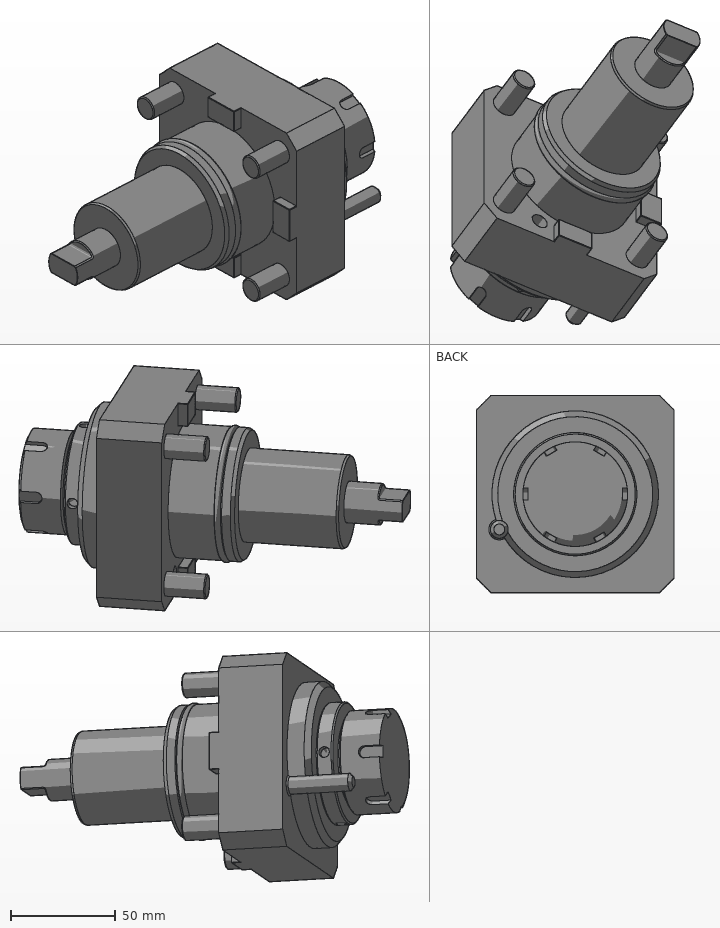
import cadquery as cq
import math


TOTAL_LENGTH = 186.3

PLATE_SIDE = 95.0
PLATE_THICKNESS = 32.0
PLATE_CORNER = 7.0

SPIGOT_RADIUS = 32.5
SPIGOT_LENGTH = 32.5
SPIGOT_BEVEL_LENGTH = 1.9
SPIGOT_BEVEL_DEPTH = 1.1
SHANK_RADIUS = 22.7
SHANK_END = 81.6
SHANK_BEVEL_LENGTH = 1.1
SHANK_BEVEL_DEPTH = 0.5
TANG_RADIUS = 10.0
TANG_END = 110.3
TANG_THICKNESS = 11.0
TANG_FLAT_LENGTH = 12.0
TANG_FILLET = 1.0
TANG_EDGE_CHAMFER = 0.5
TANG_END_CHAMFER = 0.2

RING_OUTER_RADIUS = 33.2
RING_SECTION_RADIUS = 1.5
GROOVE_START = 22.5
GROOVE_WIDTH = 3.7

FLANGE_RADIUS = 40.0
FLANGE_HEIGHT = 11.4
FLANGE_CHAMFER = 2.8
LOCK_RADIUS = 29.6
LOCK_TOP = 19.7
LOCK_CHAMFER = 0.7
NECK_RADIUS = 20.5
NUT_RADIUS = 25.2
NUT_START = 21.5
NUT_START_BEVEL_LENGTH = 1.0
NUT_START_BEVEL_DEPTH = 1.3
NUT_SIDE_TOP = 42.0
NUT_SHOULDER_RADIUS = 22.5
NUT_SHOULDER_TOP = 43.2
NUT_FACE_RADIUS = 19.7
NUT_TOP = TOTAL_LENGTH - TANG_END - PLATE_THICKNESS

NUT_SLOT_COUNT = 6
NUT_SLOT_WIDTH = 5.8
NUT_SLOT_DEPTH = 2.5
NUT_SLOT_END = 31.5
LOCK_HOLE_COUNT = 4
LOCK_HOLE_DIAMETER = 5.2
LOCK_HOLE_DEPTH = 3.7
DRILL_POINT_ANGLE = 118.0

BOLT_RADIUS = 6.0
BOLT_LENGTH = 20.1
BOLT_X = 36.5
BOLT_Z = 35.0
BOLT_CHAMFER = 0.5
KEY_WIDTH = 18.3
KEY_DEPTH = 11.5
KEY_HEIGHT = 4.8
KEY_CHAMFER = 0.28
PIN_RADIUS = 4.3
PIN_X = 36.5
PIN_Z = -17.0
PIN_LENGTH = 32.2
PIN_CHAMFER = 1.7
PIN_FLARE = 0.7
COOLANT_HOLE_RADIUS = 4.1
COOLANT_HOLE_X = -17.0
COOLANT_HOLE_Z = -37.0
COOLANT_HOLE_DEPTH = PLATE_THICKNESS / 2


def rod(x, z, y_start, y_end, radius):
    """Cylinder along Y between two Y positions."""
    direction = cq.Vector(0, math.copysign(1, y_end - y_start), 0)
    return cq.Workplane(
        cq.Solid.makeCylinder(radius, abs(y_end - y_start), cq.Vector(x, y_start, z), direction)
    )


def revolved(points):
    """Solid of revolution about Y from (radius, Y) points."""
    return cq.Workplane("XY").polyline(points).close().revolve(360, (0, 0), (0, 1))


def make_plate():
    """Square plate with beveled corners."""
    plate = cq.Workplane("XY").box(PLATE_SIDE, PLATE_THICKNESS, PLATE_SIDE)
    return plate.edges("|Y").chamfer(PLATE_CORNER).translate((0, PLATE_THICKNESS / 2, 0))


def make_front():
    """Spigot with its O-ring groove, and the shank."""
    groove_radius = RING_OUTER_RADIUS - 2 * RING_SECTION_RADIUS
    groove_end = GROOVE_START + GROOVE_WIDTH
    return revolved([
        (0, 0),
        (SPIGOT_RADIUS, 0),
        (SPIGOT_RADIUS, -GROOVE_START),
        (groove_radius, -GROOVE_START),
        (groove_radius, -groove_end),
        (SPIGOT_RADIUS, -groove_end),
        (SPIGOT_RADIUS, SPIGOT_BEVEL_LENGTH - SPIGOT_LENGTH),
        (SPIGOT_RADIUS - SPIGOT_BEVEL_DEPTH, -SPIGOT_LENGTH),
        (SHANK_RADIUS, -SPIGOT_LENGTH),
        (SHANK_RADIUS, SHANK_BEVEL_LENGTH - SHANK_END),
        (SHANK_RADIUS - SHANK_BEVEL_DEPTH, -SHANK_END),
        (0, -SHANK_END),
    ])


def make_rear():
    """Flange, lock ring, neck and collet nut."""
    profile = [
        (0, 0),
        (FLANGE_RADIUS, 0),
        (FLANGE_RADIUS, FLANGE_HEIGHT - FLANGE_CHAMFER),
        (FLANGE_RADIUS - FLANGE_CHAMFER, FLANGE_HEIGHT),
        (LOCK_RADIUS - LOCK_CHAMFER, FLANGE_HEIGHT),
        (LOCK_RADIUS, FLANGE_HEIGHT + LOCK_CHAMFER),
        (LOCK_RADIUS, LOCK_TOP - LOCK_CHAMFER),
        (LOCK_RADIUS - LOCK_CHAMFER, LOCK_TOP),
        (NECK_RADIUS, LOCK_TOP),
        (NECK_RADIUS, NUT_START),
        (NUT_RADIUS - NUT_START_BEVEL_DEPTH, NUT_START),
        (NUT_RADIUS, NUT_START + NUT_START_BEVEL_LENGTH),
        (NUT_RADIUS, NUT_SIDE_TOP),
        (NUT_SHOULDER_RADIUS, NUT_SHOULDER_TOP),
        (NUT_FACE_RADIUS, NUT_TOP),
        (0, NUT_TOP),
    ]
    return revolved(profile).translate((0, PLATE_THICKNESS, 0))


def make_tang_cutter():
    """Block that leaves one flat on the +Z side of the tang."""
    cutter = cq.Workplane("XY").box(
        2 * TANG_RADIUS, TANG_FLAT_LENGTH, TANG_RADIUS, centered=(True, False, False)
    )
    cutter = cutter.edges(">Y and <Z").fillet(TANG_FILLET)
    return cutter.translate((0, -TANG_END, TANG_THICKNESS / 2))


def make_tang():
    """Round drive end with two flats whose long and end edges are broken."""
    tang = rod(0, 0, -SHANK_END, -TANG_END, TANG_RADIUS)
    for angle in (0, 180):
        tang = tang.cut(turned(make_tang_cutter(), angle))
    tang = tang.edges("|Y").edges(cq.selectors.BoxSelector(
        (-TANG_RADIUS, -TANG_END, -TANG_THICKNESS),
        (TANG_RADIUS, -TANG_END + TANG_FLAT_LENGTH, TANG_THICKNESS),
    )).chamfer(TANG_EDGE_CHAMFER)
    return tang.faces("<Y").chamfer(TANG_END_CHAMFER)


def make_nut_slot():
    """Round-ended wrench slot cutter on the +X side of the nut."""
    slot_radius = NUT_SLOT_WIDTH / 2
    slot_floor = NUT_RADIUS - NUT_SLOT_DEPTH
    round_center = PLATE_THICKNESS + NUT_SLOT_END + slot_radius
    slot_length = PLATE_THICKNESS + NUT_TOP - round_center
    straight = cq.Workplane("XY").box(
        2 * NUT_SLOT_DEPTH, slot_length, NUT_SLOT_WIDTH, centered=(False, False, True)
    ).translate((slot_floor, round_center, 0))
    round_end = cq.Workplane(cq.Solid.makeCylinder(
        slot_radius, 2 * NUT_SLOT_DEPTH, cq.Vector(slot_floor, round_center, 0), cq.Vector(1, 0, 0)
    ))
    return straight.union(round_end)


def make_lock_hole():
    """Radial spanner hole cutter with a drill point, on the +X side of the lock ring."""
    hole_y = PLATE_THICKNESS + (FLANGE_HEIGHT + LOCK_TOP) / 2
    hole_radius = LOCK_HOLE_DIAMETER / 2
    point_length = hole_radius / math.tan(math.radians(DRILL_POINT_ANGLE / 2))
    floor_x = LOCK_RADIUS - LOCK_HOLE_DEPTH
    profile = [
        (floor_x - point_length, 0),
        (floor_x, hole_radius),
        (LOCK_RADIUS + LOCK_HOLE_DEPTH, hole_radius),
        (LOCK_RADIUS + LOCK_HOLE_DEPTH, 0),
    ]
    hole = cq.Workplane("XY").polyline(profile).close().revolve(360, (0, 0), (1, 0))
    return hole.translate((0, hole_y, 0))


def make_key():
    """Locating key at the +X side of the plate, standing on its front face."""
    key = cq.Workplane("XY").box(
        KEY_DEPTH, KEY_HEIGHT, KEY_WIDTH, centered=(False, False, True)
    )
    key = key.edges("<Y or |Y").chamfer(KEY_CHAMFER)
    return key.translate((PLATE_SIDE / 2 - KEY_DEPTH, -KEY_HEIGHT, 0))


def turned(shape, angle):
    """Shape rotated about the Y axis."""
    return shape.rotate((0, 0, 0), (0, 1, 0), angle)


def make_housing():
    """Holder body with its plate fittings and wrench features."""
    housing = make_plate().union(make_front()).union(make_tang()).union(make_rear())

    for angle in (0, 90, -90):
        housing = housing.union(turned(make_key(), angle))

    for x in (-BOLT_X, BOLT_X):
        for z in (-BOLT_Z, BOLT_Z):
            bolt = rod(x, z, 0, -BOLT_LENGTH, BOLT_RADIUS).faces("<Y").chamfer(BOLT_CHAMFER)
            housing = housing.union(bolt)

    pin_end = PLATE_THICKNESS + PIN_LENGTH
    pin = rod(PIN_X, PIN_Z, PLATE_THICKNESS, pin_end, PIN_RADIUS).faces(">Y").chamfer(PIN_CHAMFER)
    flare = cq.Workplane(cq.Solid.makeCone(
        PIN_RADIUS + PIN_FLARE, PIN_RADIUS, PIN_FLARE,
        cq.Vector(PIN_X, PLATE_THICKNESS, PIN_Z), cq.Vector(0, 1, 0)
    ))
    housing = housing.union(pin).union(flare)

    housing = housing.cut(
        rod(COOLANT_HOLE_X, COOLANT_HOLE_Z, 0, COOLANT_HOLE_DEPTH, COOLANT_HOLE_RADIUS)
    )
    for index in range(NUT_SLOT_COUNT):
        housing = housing.cut(turned(make_nut_slot(), index * 360 / NUT_SLOT_COUNT))
    for index in range(LOCK_HOLE_COUNT):
        housing = housing.cut(turned(make_lock_hole(), index * 360 / LOCK_HOLE_COUNT))
    return housing


def make_o_ring():
    """Ring resting on the groove's floor and its rear wall."""
    center_radius = RING_OUTER_RADIUS - RING_SECTION_RADIUS
    ring_y = -(GROOVE_START + RING_SECTION_RADIUS)
    return cq.Workplane(cq.Solid.makeTorus(
        center_radius, RING_SECTION_RADIUS, cq.Vector(0, ring_y, 0), cq.Vector(0, 1, 0)
    ))


housing = make_housing()
o_ring = make_o_ring()
result = cq.Compound.makeCompound([housing.val(), o_ring.val()])